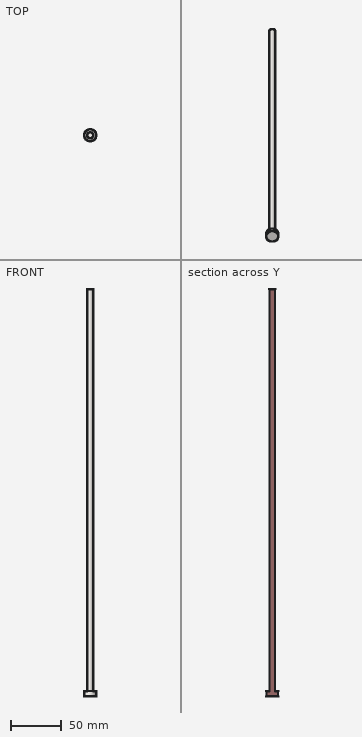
import cadquery as cq

total_length = 400.0
head_diameter = 12.0
head_height = 5.0
shaft_diameter = 6.0


def make_head():
    """Flat cylindrical head, standing on the XY plane and centred on Z."""
    return cq.Workplane("XY").circle(head_diameter / 2).extrude(head_height)


def make_shaft():
    """Plain round shaft running the full length of the pin along Z."""
    return cq.Workplane("XY").circle(shaft_diameter / 2).extrude(total_length)


result = make_head().union(make_shaft())